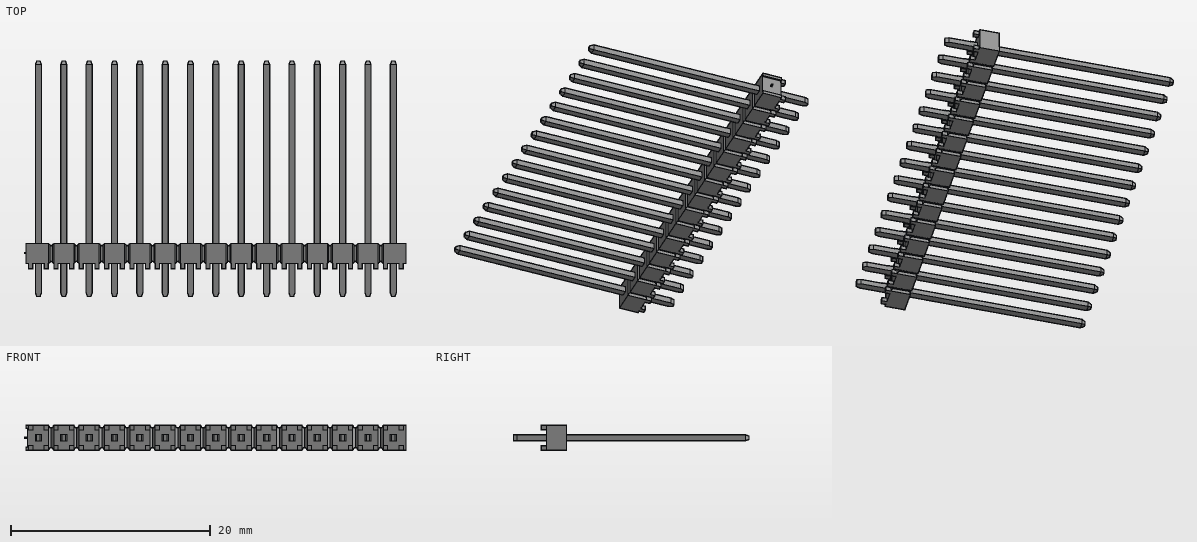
import cadquery as cq

position_count = 15
pitch = 2.54
body_height = 2.54
body_depth = 2.03

groove_width = 0.53
groove_depth = 0.254
groove_floor_width = 0.25

tab_length = 0.51
tab_width = 0.44
tab_height = 0.48

pin_width = 0.635
pin_length = 23.62
tail_length = 3.30
tip_length = 0.38
tip_width = 0.34

recess_depth = 0.15
recess_height = 1.9

marker_overhang = 0.127
marker_width = 0.127
marker_y = 0.06

body_length = position_count * pitch
end_x = body_length / 2
block_width = pitch - groove_width
body_front = -body_depth / 2
pin_front = body_front - tail_length
pin_back = pin_front + pin_length
marker_length = recess_depth + marker_overhang
position_centers = [(i - (position_count - 1) / 2) * pitch for i in range(position_count)]
groove_centers = [x + pitch / 2 for x in position_centers[:-1]]


def make_body():
    """Plain bar with a shallow channel along Y in its -X end face."""
    bar = cq.Workplane("XY").box(body_length, body_depth, body_height)
    recess = (
        cq.Workplane("XY")
        .box(recess_depth, body_depth, recess_height)
        .translate((-end_x + recess_depth / 2, 0, 0))
    )
    return bar.cut(recess)


def make_groove_set(x):
    """V grooves up the front and back, flat-floored grooves across the top and bottom."""
    half_width = groove_width / 2
    half_floor = groove_floor_width / 2
    grooves = cq.Workplane("XY")
    for side in (-1, 1):
        wall_y = side * body_depth / 2
        v_groove = (
            cq.Workplane("XY", origin=(x, 0, 0))
            .moveTo(-half_width, wall_y)
            .lineTo(0, wall_y - side * groove_depth)
            .lineTo(half_width, wall_y)
            .close()
            .extrude(body_height / 2, both=True)
        )
        wall_z = side * body_height / 2
        floor_z = wall_z - side * groove_depth
        flat_groove = (
            cq.Workplane("XZ", origin=(x, 0, 0))
            .moveTo(-half_width, wall_z)
            .lineTo(-half_floor, floor_z)
            .lineTo(half_floor, floor_z)
            .lineTo(half_width, wall_z)
            .close()
            .extrude(body_depth / 2, both=True)
        )
        grooves = grooves.add(v_groove).add(flat_groove)
    return grooves.combine()


def make_tabs(x):
    """Four standoff tabs at the front corners of one position."""
    return (
        cq.Workplane("XZ", origin=(x, body_front, 0))
        .rect(block_width - tab_width, body_height - tab_height, forConstruction=True)
        .vertices()
        .rect(tab_width, tab_height)
        .extrude(tab_length)
    )


def make_pin(x):
    """Square pin along Y: front tip narrowed in X only, back tip narrowed in X and Z."""
    shank_front = pin_front + tip_length
    shank_back = pin_back - tip_length
    shank_and_front_tip = (
        cq.Workplane("XY", origin=(x, 0, 0))
        .moveTo(-tip_width / 2, pin_front)
        .lineTo(tip_width / 2, pin_front)
        .lineTo(pin_width / 2, shank_front)
        .lineTo(pin_width / 2, shank_back)
        .lineTo(-pin_width / 2, shank_back)
        .lineTo(-pin_width / 2, shank_front)
        .close()
        .extrude(pin_width / 2, both=True)
    )
    back_tip = (
        cq.Workplane("XZ", origin=(x, shank_back, 0))
        .rect(pin_width, pin_width)
        .workplane(offset=-tip_length)
        .rect(tip_width, tip_width)
        .loft(ruled=True)
    )
    return shank_and_front_tip.union(back_tip)


header = make_body()
for groove_x in groove_centers:
    header = header.cut(make_groove_set(groove_x))
for position_x in position_centers:
    header = header.union(make_tabs(position_x)).union(make_pin(position_x))

marker = (
    cq.Workplane("XY")
    .box(marker_length, marker_width, marker_width)
    .translate((-end_x + recess_depth - marker_length / 2, marker_y, 0))
)

result = cq.Compound.makeCompound([header.val(), marker.val()])